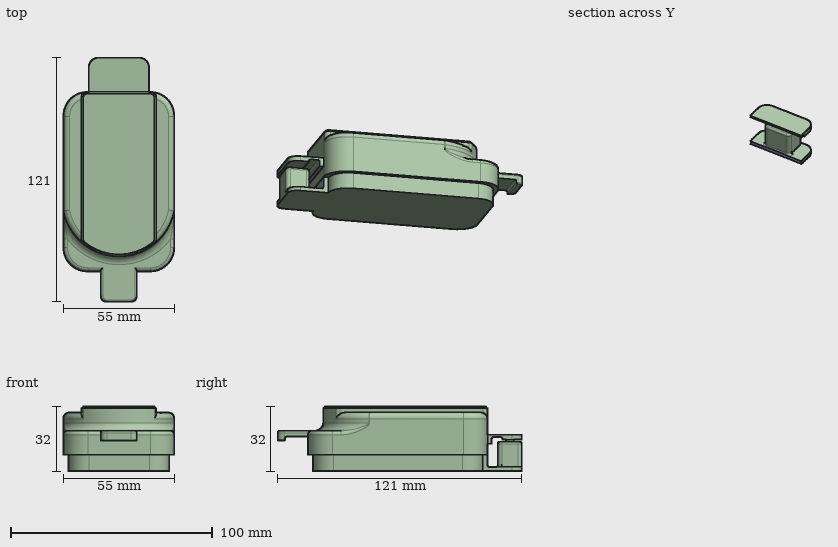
import cadquery as cq
import math

cover_width = 55.0
cover_length = 89.0
cover_corner_radius = 12.0
cover_back = cover_length / 2
cover_front = -cover_length / 2

base_height = 8.0
deck_top = 20.0
hood_top = 29.0
strip_top = 32.0

nose_radius = 28.0
nose_center_y = -9.0
hood_edge_radius = 3.0
deck_edge_radius = 2.0
nose_foot_radius = 4.0

strip_width = 37.0
strip_corner_radius = 2.5
strip_edge_chamfer = 1.0

pull_width = 18.0
pull_length = 15.0
pull_corner_radius = 3.0
pull_bottom = 17.0
lip_bottom = 15.0
lip_length = 3.7
pull_edge_radius = 1.0
lip_edge_radius = 0.65
lip_root_radius = 1.0

rear_tab_width = 30.0
rear_tab_length = 17.0
rear_tab_corner_radius = 5.0
rear_tab_end = cover_back + rear_tab_length
upper_tab_top = 18.0
upper_tab_bottom = 15.5
hinge_bottom = 16.75
hinge_length = 5.35
hinge_corner_radius = 1.0
flange_thickness = 2.0
flange_bottom = 13.5

base_inset = 2.5
base_corner_radius = 10.0
lower_tab_thickness = 2.0
lower_tab_inner_radius = 1.0

block_width = 15.0
block_length = 12.0
block_top = 14.5
block_corner_radius = 2.0
block_edge_radius = 1.0
block_foot_radius = 1.0
stem_diameter = 4.0
stem_center_y = rear_tab_end - block_length / 2


def rounded_plate(width, length, radius, bottom, top):
    """Plate centred on the Z axis with round vertical corners."""
    plate = cq.Workplane("XY", origin=(0, 0, bottom)).rect(width, length).extrude(top - bottom)
    return plate.edges("|Z").fillet(radius)


def nose_plan(width, bottom, top):
    """Plan shape that runs from the cover's back face to the round nose."""
    half_width = width / 2
    side_end = nose_center_y - math.sqrt(nose_radius**2 - half_width**2)
    return (
        cq.Workplane("XY", origin=(0, 0, bottom))
        .moveTo(-half_width, cover_back)
        .lineTo(-half_width, side_end)
        .threePointArc((0, nose_center_y - nose_radius), (half_width, side_end))
        .lineTo(half_width, cover_back)
        .close()
        .extrude(top - bottom)
    )


def make_shell():
    """Deck and hood of the cover, with their edges rounded.

    The foot of the nose is filleted first, so that the deck's rim follows it up the sides.
    """
    outline = rounded_plate(cover_width, cover_length, cover_corner_radius, base_height, hood_top)
    deck = outline.intersect(
        cq.Workplane("XY").box(cover_width, cover_length, deck_top, centered=(True, True, False))
    )
    hood = outline.intersect(nose_plan(cover_width, base_height, hood_top))
    shell = deck.union(hood)
    nose_front = nose_center_y - nose_radius
    foot = cq.selectors.NearestToPointSelector((0, nose_front, deck_top))
    shell = shell.edges("%CIRCLE").edges(foot).fillet(nose_foot_radius)
    rim = cq.selectors.NearestToPointSelector((0, cover_front, deck_top))
    shell = shell.edges(rim).fillet(deck_edge_radius)
    return shell.faces(">Z").edges().fillet(hood_edge_radius)


def make_strip():
    """Raised strip, reaching down into the hood."""
    strip = nose_plan(strip_width, deck_top, strip_top).intersect(
        rounded_plate(cover_width, cover_length, cover_corner_radius, deck_top, strip_top)
    )
    strip = strip.edges("|Z").edges("<X or >X").fillet(strip_corner_radius)
    return strip.faces(">Z").edges().chamfer(strip_edge_chamfer)


def make_pull_tab():
    """Front tab, rooted under the deck, with a lip hanging from its tip."""
    tip = cover_front - pull_length
    root = cover_front + deck_edge_radius
    lip_back = tip + lip_length
    tab = (
        cq.Workplane("YZ")
        .polyline([
            (root, deck_top), (tip, deck_top), (tip, lip_bottom),
            (lip_back, lip_bottom), (lip_back, pull_bottom), (root, pull_bottom),
        ])
        .close()
        .extrude(pull_width / 2, both=True)
    )
    lip_root = cq.selectors.NearestToPointSelector((0, lip_back, pull_bottom))
    tab = tab.edges("|X").edges(lip_root).fillet(lip_root_radius)
    tab = tab.edges("|Z and <Y").fillet(pull_corner_radius)
    tab = tab.faces(">Z").edges("not >Y").fillet(pull_edge_radius)
    return tab.faces("<Z").edges().fillet(lip_edge_radius)


def rear_tab_plan(bottom, top, front):
    """Rear tab plate with its two outer corners rounded."""
    return (
        cq.Workplane("XY", origin=(0, 0, bottom))
        .moveTo(0, (front + rear_tab_end) / 2)
        .rect(rear_tab_width, rear_tab_end - front)
        .extrude(top - bottom)
        .edges("|Z and >Y")
        .fillet(rear_tab_corner_radius)
    )


def make_upper_tab():
    """Cover's rear tab: a flange on the back face, a thin hinge and the plate."""
    flange_back = cover_back + flange_thickness
    plate = rear_tab_plan(flange_bottom, upper_tab_top, cover_back)
    under_plate = (
        cq.Workplane("YZ")
        .moveTo((flange_back + rear_tab_end) / 2, (flange_bottom + upper_tab_bottom) / 2)
        .rect(rear_tab_end - flange_back, upper_tab_bottom - flange_bottom)
        .extrude(rear_tab_width / 2, both=True)
    )
    hinge_gap = (
        cq.Workplane("YZ")
        .moveTo(flange_back + hinge_length / 2, (flange_bottom + hinge_bottom) / 2)
        .rect(hinge_length, hinge_bottom - flange_bottom)
        .extrude(rear_tab_width / 2, both=True)
        .edges("|X and >Z")
        .fillet(hinge_corner_radius)
    )
    return plate.cut(under_plate).cut(hinge_gap)


def make_cover():
    """First body: shell, raised strip and both of the cover's tabs."""
    return make_shell().union(make_strip()).union(make_pull_tab()).union(make_upper_tab())


def make_lower_tab():
    """Base's rear tab: an upright rib below the cover's back edge and the plate."""
    base_back = cover_back - base_inset
    tab = rear_tab_plan(0, base_height, base_back)
    above_plate = (
        cq.Workplane("YZ")
        .moveTo((cover_back + rear_tab_end) / 2, (lower_tab_thickness + base_height) / 2)
        .rect(rear_tab_length, base_height - lower_tab_thickness)
        .extrude(rear_tab_width / 2, both=True)
        .edges("|X and <Z and <Y")
        .fillet(lower_tab_inner_radius)
    )
    return tab.cut(above_plate)


def foot_profile(corner):
    """Concave fillet section at the foot of the block, from its inner corner out."""
    arc_drop = block_foot_radius * (1 - math.sqrt(0.5))
    return (
        cq.Workplane("YZ", origin=corner)
        .lineTo(-block_foot_radius, 0)
        .threePointArc((-arc_drop, arc_drop), (0, block_foot_radius))
        .close()
    )


def make_block_foot():
    """Fillet between the base tab and the inner end of the block, around both corners."""
    flat_half = block_width / 2 - block_corner_radius
    inner_end = rear_tab_end - block_length
    foot = foot_profile((0, inner_end, lower_tab_thickness)).extrude(flat_half, both=True)
    for side in (-1, 1):
        profile = foot_profile((side * flat_half, inner_end, lower_tab_thickness))
        corner = profile.revolve(90, (block_corner_radius, 0, 0), (block_corner_radius, side, 0))
        foot = foot.union(corner)
    return foot


def make_block():
    """Block at the outer end of the base tab, with the stem on top."""
    block = rounded_plate(block_width, block_length, block_corner_radius, 0, block_top)
    block = block.faces(">Z").edges().fillet(block_edge_radius)
    block = block.translate((0, stem_center_y, 0))
    stem = (
        cq.Workplane("XY", origin=(0, stem_center_y, 0))
        .circle(stem_diameter / 2)
        .extrude(upper_tab_bottom)
    )
    return block.union(stem).union(make_block_foot())


def make_base():
    """Second body: plinth under the cover, with its tab, block and stem."""
    plinth = rounded_plate(
        cover_width - 2 * base_inset,
        cover_length - 2 * base_inset,
        base_corner_radius,
        0,
        base_height,
    )
    return plinth.union(make_lower_tab()).union(make_block())


cover = make_cover()
base = make_base()
result = cq.Compound.makeCompound([cover.solids().val(), base.solids().val()])